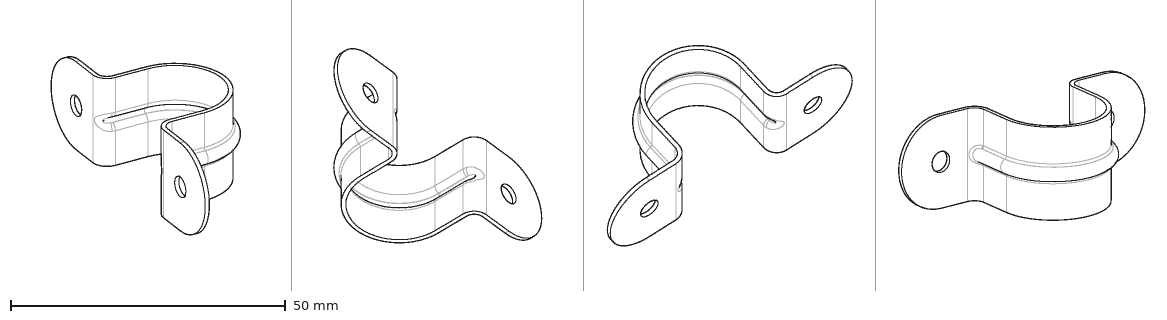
import cadquery as cq
import math

length = 55.5
width = 18.0
thickness = 0.9
arch_inner_radius = 9.7
arch_centre_y = 9.9
bend_outer_radius = 3.0
hole_diameter = 4.0

bead_rise = 1.35
bead_crown_radius = 1.5
bead_half_width = 1.95
bead_inner_fillet = 1.4
bead_outer_fillet = 0.55

ground_depth = 5.55
contact_tolerance = 0.0005

arch_outer_radius = arch_inner_radius + thickness
crown_path_radius = arch_outer_radius + bead_rise - bead_crown_radius
end_radius = width / 2
hole_x = length / 2 - end_radius

crown_sink = bead_crown_radius - bead_rise
root_radius = (bead_half_width**2 + crown_sink**2 - bead_crown_radius**2) / (
    2 * (bead_crown_radius - crown_sink)
)
flank_angle = math.atan2(root_radius + crown_sink, bead_half_width)


def hump(offset):
    """Filled strap shape whose skin lies `offset` outside the inner skin."""
    radius = arch_inner_radius + offset
    bend = bend_outer_radius - offset
    bend_x = radius + bend
    bend_y = offset + bend
    half_length = length / 2
    diagonal = bend * math.sqrt(0.5)
    return (
        cq.Workplane("XY", origin=(0, 0, -width / 2))
        .moveTo(-half_length, -ground_depth)
        .lineTo(half_length, -ground_depth)
        .lineTo(half_length, offset)
        .lineTo(bend_x, offset)
        .threePointArc((bend_x - diagonal, bend_y - diagonal), (radius, bend_y))
        .lineTo(radius, arch_centre_y)
        .threePointArc((0, arch_centre_y + radius), (-radius, arch_centre_y))
        .lineTo(-radius, bend_y)
        .threePointArc((diagonal - bend_x, bend_y - diagonal), (-bend_x, offset))
        .lineTo(-half_length, offset)
        .close()
        .extrude(width)
    )


def bead_profile(crown_radius):
    """Rounded crown with tangent sloping flanks, in the XZ plane at the arch centre."""
    tangent_x = crown_path_radius + crown_radius * math.sin(flank_angle)
    tangent_z = crown_radius * math.cos(flank_angle)
    root_x = arch_inner_radius - thickness
    root_z = tangent_z + (tangent_x - root_x) * math.tan(flank_angle)
    return (
        cq.Workplane("XZ", origin=(0, arch_centre_y, 0))
        .moveTo(root_x, -root_z)
        .lineTo(tangent_x, -tangent_z)
        .threePointArc((crown_path_radius + crown_radius, 0), (tangent_x, tangent_z))
        .lineTo(root_x, root_z)
        .close()
    )


def bead(crown_radius):
    """Half ring around the arch, continued straight down both legs."""
    arch = bead_profile(crown_radius).revolve(180, (0, 0, 0), (0, 1, 0))
    if arch.val().Center().y < arch_centre_y:
        arch = arch.mirror("XZ", (0, arch_centre_y, 0))
    leg = bead_profile(crown_radius).extrude(arch_centre_y)
    return arch.union(leg).union(leg.mirror("YZ"))


def beaded_hump(offset, crown_radius, root_fillet):
    """Filled strap shape with the bead blended into its skin."""
    plain = hump(offset)
    body = plain.union(bead(crown_radius))
    reach = bead_half_width + thickness
    root_zone = cq.selectors.BoxSelector(
        (-length, offset + contact_tolerance, -reach), (length, length, reach)
    )
    skin = plain.val().Shells()[0]
    roots = [
        edge
        for edge in body.edges(root_zone).vals()
        if all(
            cq.Vertex.makeVertex(*edge.positionAt(t).toTuple()).distance(skin) < contact_tolerance
            for t in (0, 0.5, 1)
        )
    ]
    return body.newObject(roots).fillet(root_fillet)


outside = beaded_hump(thickness, bead_crown_radius, bead_outer_fillet)
inside = beaded_hump(0, bead_crown_radius - thickness, bead_inner_fillet)
strap = outside.cut(inside)

ear_outline = cq.Workplane("XZ").slot2D(length, width).extrude(-length)
strap = strap.intersect(ear_outline)

holes = (
    cq.Workplane("XZ")
    .pushPoints([(-hole_x, 0), (hole_x, 0)])
    .circle(hole_diameter / 2)
    .extrude(-thickness)
)
result = strap.cut(holes)